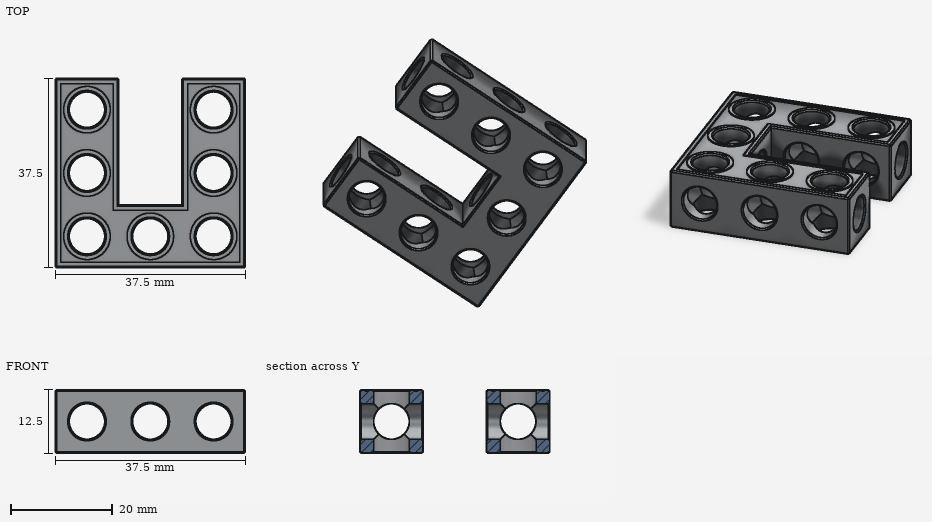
import cadquery as cq

PITCH = 12.5
UNITS = 3
HOLE_DIAMETER = 7.0
EDGE_CHAMFER = 0.3
RIM_WIDTH = 1.1
RING_DIAMETER = 9.2
RECESS_DEPTH = 0.2

SIDE = UNITS * PITCH
HALF_SIDE = SIDE / 2
HALF_HEIGHT = PITCH / 2
GRID = [(i - (UNITS - 1) / 2) * PITCH for i in range(UNITS)]
BASE_ROW = GRID[0]
COLUMN_CENTERS = [(x, y) for x in GRID for y in GRID if x != 0 or y == BASE_ROW]


def u_prism(inset, bottom, top):
    """U-shaped prism, open towards +Y, with its outline moved inwards by inset."""
    outer = HALF_SIDE - inset
    slot_half_width = PITCH / 2 + inset
    slot_floor = -HALF_SIDE + PITCH - inset
    outline = [
        (-outer, -outer),
        (outer, -outer),
        (outer, outer),
        (slot_half_width, outer),
        (slot_half_width, slot_floor),
        (-slot_half_width, slot_floor),
        (-slot_half_width, outer),
        (-outer, outer),
    ]
    return cq.Workplane("XY").workplane(offset=bottom).polyline(outline).close().extrude(top - bottom)


def chamfered_body():
    """U block with its convex edges chamfered; the two inner vertical corners of the slot stay sharp."""
    body = u_prism(0, -HALF_HEIGHT, HALF_HEIGHT)
    convex_corners = body.edges("|Z").filter(lambda edge: abs(edge.Center().y) > PITCH)
    return convex_corners.chamfer(EDGE_CHAMFER).faces("<Z or >Z").edges().chamfer(EDGE_CHAMFER)


def top_recess():
    """Shallow pocket in the top face, leaving the border and the rings standing."""
    floor = HALF_HEIGHT - RECESS_DEPTH
    rings = (
        cq.Workplane("XY")
        .workplane(offset=floor)
        .pushPoints(COLUMN_CENTERS)
        .circle(RING_DIAMETER / 2)
        .extrude(RECESS_DEPTH)
    )
    return u_prism(RIM_WIDTH, floor, HALF_HEIGHT).cut(rings)


def through_hole(start, direction, length):
    """Round hole of the given length along direction, widened conically at both mouths."""
    radius = HOLE_DIAMETER / 2
    mouth_radius = radius + EDGE_CHAMFER
    profile = [
        (0, 0),
        (mouth_radius, 0),
        (radius, EDGE_CHAMFER),
        (radius, length - EDGE_CHAMFER),
        (mouth_radius, length),
        (0, length),
    ]
    hole = cq.Workplane("XZ").polyline(profile).close().revolve(360, (0, 0), (0, 1))
    plane = cq.Plane(origin=start, normal=direction)
    return cq.Workplane(obj=hole.val().moved(cq.Location(plane)))


def drill_holes(body):
    """Drill every grid cell along X, Y and Z; each hole spans its whole run of cells."""
    for x, y in COLUMN_CENTERS:
        body = body.cut(through_hole((x, y, -HALF_HEIGHT), (0, 0, 1), PITCH))

    for x in GRID:
        length = PITCH if x == 0 else SIDE
        body = body.cut(through_hole((x, -HALF_SIDE, 0), (0, 1, 0), length))

    body = body.cut(through_hole((-HALF_SIDE, BASE_ROW, 0), (1, 0, 0), SIDE))
    for y in GRID[1:]:
        for arm_start in (-HALF_SIDE, PITCH / 2):
            body = body.cut(through_hole((arm_start, y, 0), (1, 0, 0), PITCH))
    return body


result = drill_holes(chamfered_body().cut(top_recess()))